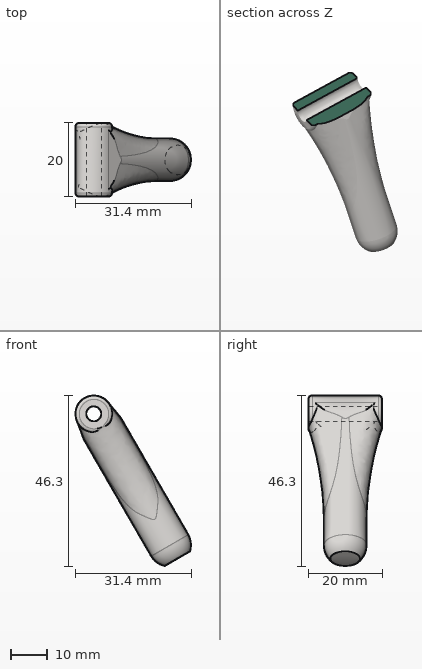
import cadquery as cq
import math

BARREL_RADIUS = 5.0
BARREL_LENGTH = 20.0
BARREL_EDGE_FILLET = 1.0
BORE_DIAMETER = 4.0

HANDLE_TILT = 30.0
HANDLE_RADIUS = 11.68 / 2
DOME_CENTRE = 41.16
HANDLE_LENGTH = 45.4

FLARE_END = 34.5
FLARE_ARC_RADIUS = 112.0
FLARE_SIDE_RADIUS = 5.35
FLARE_SINK = 0.01
SIDE_ARC_STEPS = 6
FLARE_SECTIONS = 6

RAMP_END = 4.75


def flare_half_width(distance):
    """Half width along Y at a distance along the handle."""
    run = FLARE_END - distance
    arc_rise = FLARE_ARC_RADIUS - math.sqrt(FLARE_ARC_RADIUS**2 - run**2)
    return HANDLE_RADIUS - FLARE_SINK + arc_rise


def lobe_section(distance):
    """Outline that leaves the bar's circle tangentially and runs round a smaller side circle."""
    inner_radius = HANDLE_RADIUS - FLARE_SINK
    tip_y = flare_half_width(distance)
    side_centre = tip_y - FLARE_SIDE_RADIUS
    sine = (inner_radius - FLARE_SIDE_RADIUS) / side_centre
    cosine = math.sqrt(1 - sine**2)
    inner_x = inner_radius * cosine
    inner_y = inner_radius * sine
    edge_angle = math.asin(sine)
    side_points = []
    for i in range(SIDE_ARC_STEPS + 1):
        angle = edge_angle + (math.pi - 2 * edge_angle) * i / SIDE_ARC_STEPS
        side_points.append(
            (FLARE_SIDE_RADIUS * math.cos(angle), side_centre + FLARE_SIDE_RADIUS * math.sin(angle))
        )
    line_mid_x = (inner_x + side_points[0][0]) / 2
    line_mid_y = (inner_y + side_points[0][1]) / 2
    curve_points = [
        (inner_x, inner_y),
        (line_mid_x, line_mid_y),
        *side_points,
        (-line_mid_x, line_mid_y),
        (-inner_x, inner_y),
    ]
    outline = (
        cq.Workplane("XY", origin=(0, 0, -distance))
        .spline(curve_points, tangents=[(-sine, cosine), (-sine, -cosine)])
        .close()
    )
    return outline.val()


def make_barrel():
    barrel = cq.Workplane("XZ").circle(BARREL_RADIUS).extrude(BARREL_LENGTH / 2, both=True)
    return barrel.faces("<Y or >Y").edges().fillet(BARREL_EDGE_FILLET)


def make_lobe(start):
    """Lobe on the +Y side, from a distance along the handle to where it sinks into the bar."""
    end = FLARE_END - math.sqrt(FLARE_ARC_RADIUS * FLARE_SINK)
    step = (end - start) / (FLARE_SECTIONS - 1)
    sections = [lobe_section(start + i * step) for i in range(FLARE_SECTIONS)]
    return cq.Workplane(cq.Solid.makeLoft(sections))


def make_bar(start):
    """Round bar with a truncated spherical end."""
    dome_depth = HANDLE_LENGTH - DOME_CENTRE
    flat_radius = math.sqrt(HANDLE_RADIUS**2 - dome_depth**2)
    dome_angle = math.asin(dome_depth / HANDLE_RADIUS) / 2
    dome_mid = (
        HANDLE_RADIUS * math.cos(dome_angle),
        -DOME_CENTRE - HANDLE_RADIUS * math.sin(dome_angle),
    )
    return (
        cq.Workplane("XZ")
        .moveTo(0, -start)
        .lineTo(HANDLE_RADIUS, -start)
        .lineTo(HANDLE_RADIUS, -DOME_CENTRE)
        .threePointArc(dome_mid, (flat_radius, -HANDLE_LENGTH))
        .lineTo(0, -HANDLE_LENGTH)
        .close()
        .revolve(360, (0, 0, 0), (0, 1, 0))
    )


def make_handle():
    """Bar and lobes, thinned by the ramps and kept within the barrel's length."""
    ramp_reach = math.hypot(RAMP_END, HANDLE_RADIUS)
    touch_angle = math.atan2(RAMP_END, HANDLE_RADIUS) - math.acos(BARREL_RADIUS / ramp_reach)
    start = BARREL_RADIUS * math.sin(touch_angle)
    start_height = BARREL_RADIUS * math.cos(touch_angle)

    lobe = make_lobe(start)
    handle = make_bar(start).union(lobe).union(lobe.mirror("XZ"))
    ramped_envelope = (
        cq.Workplane("XZ")
        .moveTo(start_height, -start)
        .lineTo(HANDLE_RADIUS, -RAMP_END)
        .lineTo(HANDLE_RADIUS, -HANDLE_LENGTH)
        .lineTo(-HANDLE_RADIUS, -HANDLE_LENGTH)
        .lineTo(-HANDLE_RADIUS, -RAMP_END)
        .lineTo(-start_height, -start)
        .close()
        .extrude(BARREL_LENGTH / 2, both=True)
    )
    handle = handle.intersect(ramped_envelope)
    return handle.rotate((0, 0, 0), (0, 1, 0), -HANDLE_TILT)


bore = cq.Workplane("XZ").circle(BORE_DIAMETER / 2).extrude(BARREL_LENGTH / 2, both=True)
result = make_barrel().union(make_handle()).cut(bore)